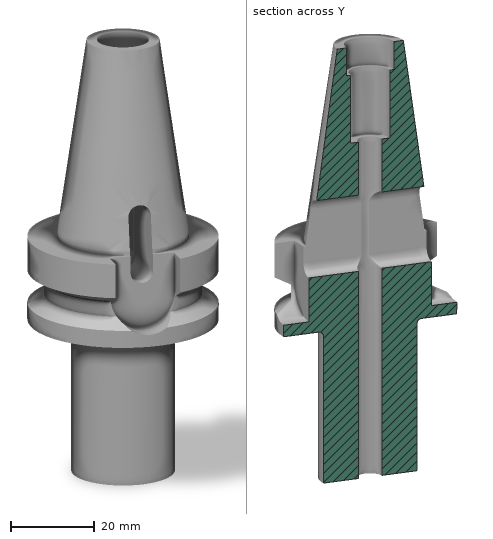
import cadquery as cq
import math

nose_length = 60.0
taper_length = 48.4
gauge_diameter = 31.75
taper_ratio = 7 / 24
nose_diameter = 25.0
nose_fillet = 1.0

gauge_z = nose_length
top_z = gauge_z + taper_length
gauge_radius = gauge_diameter / 2
taper_top_radius = gauge_radius - taper_length * taper_ratio / 2
nose_radius = nose_diameter / 2

flange_diameter = 46.0
flange_top_drop = 1.0
flange_bottom_drop = 22.0
groove_center_drop = 13.6
groove_diameter = 38.0
groove_mouth_width = 8.2
groove_wall_angle = 30.0

flange_radius = flange_diameter / 2
flange_top_z = gauge_z - flange_top_drop
flange_bottom_z = gauge_z - flange_bottom_drop
groove_center_z = gauge_z - groove_center_drop
groove_radius = groove_diameter / 2
groove_mouth_half = groove_mouth_width / 2
groove_wall_height = (flange_radius - groove_radius) * math.tan(math.radians(groove_wall_angle))
groove_floor_half = groove_mouth_half - groove_wall_height

keyway_width = 16.1
keyway_floor_x = 16.3
keyway_bottom_z = 41.0
keyway_radius = keyway_width / 2

cross_slot_width = 5.6
cross_slot_bottom_z = 52.0
cross_slot_top_z = 71.0
cross_slot_length = cross_slot_top_z - cross_slot_bottom_z

counterbore_diameter = 12.5
counterbore_depth = 7.0
drawbar_bore_diameter = 10.3
drawbar_bore_depth = 24.0
through_hole_diameter = 6.0


def turned_body():
    """Revolve the nose, grooved flange and taper about Z."""
    profile = (
        cq.Workplane("XZ")
        .lineTo(nose_radius, 0)
        .lineTo(nose_radius, flange_bottom_z - nose_fillet)
        .radiusArc((nose_radius + nose_fillet, flange_bottom_z), nose_fillet)
        .lineTo(flange_radius, flange_bottom_z)
        .lineTo(flange_radius, groove_center_z - groove_mouth_half)
        .lineTo(groove_radius, groove_center_z - groove_floor_half)
        .lineTo(groove_radius, groove_center_z + groove_floor_half)
        .lineTo(flange_radius, groove_center_z + groove_mouth_half)
        .lineTo(flange_radius, flange_top_z)
        .lineTo(gauge_radius, flange_top_z)
        .lineTo(gauge_radius, gauge_z)
        .lineTo(taper_top_radius, top_z)
        .lineTo(0, top_z)
        .close()
    )
    return profile.revolve(360, (0, 0, 0), (0, 1, 0))


def keyway_cutter(side):
    """U-shaped keyway, open upward, on the +X (side=1) or -X (side=-1) flank."""
    arc_center_z = keyway_bottom_z + keyway_radius
    return (
        cq.Workplane("YZ", origin=(side * keyway_floor_x, 0, 0))
        .moveTo(-keyway_radius, gauge_z)
        .lineTo(-keyway_radius, arc_center_z)
        .threePointArc((0, keyway_bottom_z), (keyway_radius, arc_center_z))
        .lineTo(keyway_radius, gauge_z)
        .close()
        .extrude(side * flange_radius)
    )


def cross_slot_cutter():
    """Upright obround passing through the whole part along X."""
    slot_center_z = (cross_slot_bottom_z + cross_slot_top_z) / 2
    return (
        cq.Workplane("YZ", origin=(0, 0, slot_center_z))
        .slot2D(cross_slot_length, cross_slot_width, 90)
        .extrude(flange_radius, both=True)
    )


def bore_cutter(diameter, depth):
    """Cylinder on the axis, sunk from the small end of the taper."""
    return cq.Workplane("XY", origin=(0, 0, top_z - depth)).circle(diameter / 2).extrude(depth)


result = turned_body()
for flank in (1, -1):
    result = result.cut(keyway_cutter(flank))
result = result.cut(cross_slot_cutter())
result = result.cut(bore_cutter(counterbore_diameter, counterbore_depth))
result = result.cut(bore_cutter(drawbar_bore_diameter, drawbar_bore_depth))
result = result.cut(bore_cutter(through_hole_diameter, top_z))